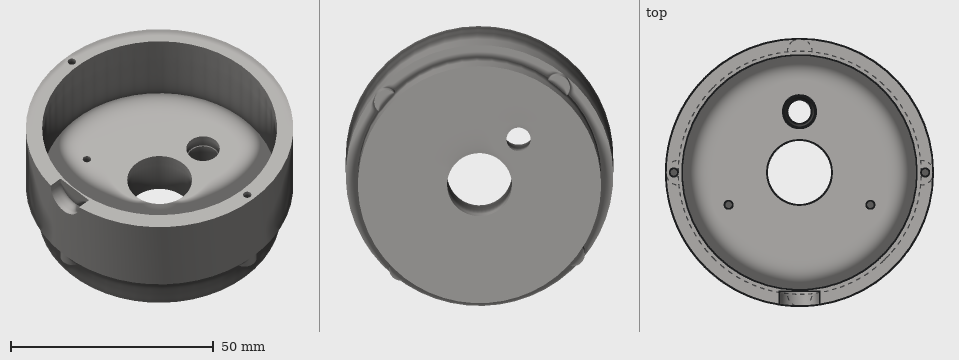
import cadquery as cq

body_diameter = 66.0
total_height = 31.0
spigot_diameter = 60.0
spigot_height = 10.0
cavity_diameter = 57.95
cavity_depth = 19.0
floor_height = total_height - cavity_depth

lug_count = 4
lug_diameter = 6.1
lug_height = 2.85
lug_circle_radius = (body_diameter - lug_diameter) / 2

bore_diameter = 16.0
port_offset = 15.0
port_diameter = 8.25
port_depth = 3.3
port_cone_diameter = 7.65
port_outlet_diameter = 5.95

pin_diameter = 2.05
pin_depth = 6.0
rim_pin_radius = (body_diameter + cavity_diameter) / 4
floor_pin_x = 17.5
floor_pin_y = -8.0

notch_radius = 5.0
notch_inner_y = -29.25


def cylinder(diameter, bottom, top, x=0, y=0):
    """Vertical cylinder between two heights."""
    base = cq.Workplane("XY", origin=(x, y, bottom))
    return base.circle(diameter / 2).extrude(top - bottom)


def make_cup():
    spigot = cylinder(spigot_diameter, 0, spigot_height)
    body = cylinder(body_diameter, spigot_height, total_height)
    cavity = cylinder(cavity_diameter, floor_height, total_height)
    return spigot.union(body).cut(cavity)


def make_lugs():
    base = cq.Workplane("XY", origin=(0, 0, spigot_height - lug_height))
    lugs = base.polarArray(lug_circle_radius, 0, 360, lug_count).circle(lug_diameter / 2)
    return lugs.extrude(floor_height - spigot_height + lug_height)


def make_port():
    """Counterbore whose narrow ledge leads into a cone through the underside."""
    counterbore = cylinder(port_diameter, floor_height - port_depth, floor_height, y=port_offset)
    cone = (
        cq.Workplane("XY", origin=(0, port_offset, 0))
        .circle(port_outlet_diameter / 2)
        .workplane(offset=floor_height - port_depth)
        .circle(port_cone_diameter / 2)
        .loft()
    )
    return counterbore.union(cone)


def make_notch():
    start_y = -body_diameter / 2
    plane = cq.Workplane("XZ", origin=(0, start_y, total_height))
    return plane.circle(notch_radius).extrude(start_y - notch_inner_y)


result = make_cup().union(make_lugs())
result = result.cut(cylinder(bore_diameter, 0, floor_height))
result = result.cut(make_port())
result = result.cut(make_notch())

for side in (-1, 1):
    rim_pin = cylinder(pin_diameter, total_height - pin_depth, total_height, x=side * rim_pin_radius)
    floor_pin = cylinder(
        pin_diameter, floor_height - pin_depth, floor_height, x=side * floor_pin_x, y=floor_pin_y
    )
    result = result.cut(rim_pin).cut(floor_pin)